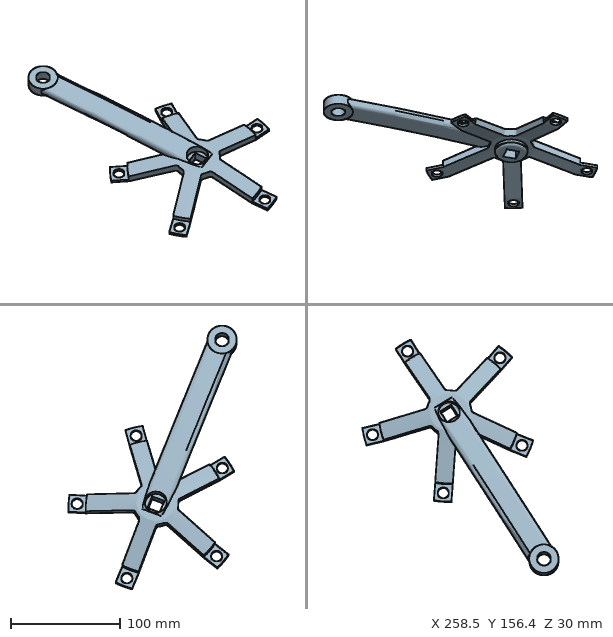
import cadquery as cq

total_height = 30.0

crank_length = 165.0
crank_width = 24.5
crank_edge_radius = 4.1
crank_thickness = 9.5
crank_end_x = 10.3
crank_end_top = 20.03
crank_mid_x = -68.2
crank_mid_top = 26.4
eye_diameter = 27.0
eye_height = 10.0
pedal_hole_diameter = 12.7

arm_count = 5
arm_width = 16.3
spider_radius = 80.0
tab_inner_radius = 64.0
tab_thickness = 2.8
step_top = 7.2
hub_top = 20.0
hub_bottom = 11.0
flat_top_radius = 17.5
flat_bottom_radius = 21.2
web_radius = 20.7
web_fillet = 3.4
bolt_circle_radius = 72.0
bolt_hole_diameter = 10.0

flange_diameter = 30.0
flange_bottom = 5.2
flange_edge_radius = 2.5
groove_bottom = 8.0
groove_top = 8.8
groove_diameter = 27.0
lip_edge_radius = 1.0
square_side = 12.0
recess_diameter = 20.0
recess_floor = 14.5


def make_spider():
    """Conical disc with a flat rim, trimmed to a star of straight arms."""
    disc = (
        cq.Workplane("XZ")
        .moveTo(0, hub_bottom)
        .lineTo(flat_bottom_radius, hub_bottom)
        .lineTo(tab_inner_radius, 0)
        .lineTo(spider_radius, 0)
        .lineTo(spider_radius, tab_thickness)
        .lineTo(tab_inner_radius, tab_thickness)
        .lineTo(tab_inner_radius, step_top)
        .lineTo(flat_top_radius, hub_top)
        .lineTo(0, hub_top)
        .close()
        .revolve(360, (0, 0, 0), (0, 1, 0))
    )
    star = cq.Workplane("XY").circle(web_radius).extrude(total_height)
    arm = cq.Workplane("XY").box(
        spider_radius + arm_width, arm_width, total_height, centered=(False, True, False)
    )
    for index in range(arm_count):
        star = star.union(arm.rotate((0, 0, 0), (0, 0, 1), index * 360 / arm_count))
    corners = cq.selectors.BoxSelector(
        (-web_radius, -web_radius, 0), (web_radius, web_radius, total_height)
    )
    star = star.edges("|Z").edges(corners).fillet(web_fillet)
    return disc.intersect(star)


def make_crank():
    """Bowed bar with rounded long edges, running from the pedal eye to the hub."""
    bar = (
        cq.Workplane("XZ")
        .moveTo(-crank_length, total_height)
        .threePointArc((crank_mid_x, crank_mid_top), (crank_end_x, crank_end_top))
        .lineTo(crank_end_x, crank_end_top - crank_thickness)
        .threePointArc(
            (crank_mid_x, crank_mid_top - crank_thickness),
            (-crank_length, total_height - crank_thickness),
        )
        .close()
        .extrude(crank_width / 2, both=True)
    )
    return bar.faces("<Y or >Y").edges("not |Z").fillet(crank_edge_radius)


def make_eye():
    """Round pedal boss at the far end of the crank."""
    return (
        cq.Workplane("XY", origin=(-crank_length, 0, total_height - eye_height))
        .circle(eye_diameter / 2)
        .extrude(eye_height)
    )


def make_disc(diameter, bottom, top):
    """Plain round disc on the spindle axis."""
    return cq.Workplane("XY", origin=(0, 0, bottom)).circle(diameter / 2).extrude(top - bottom)


def make_boss():
    """Rounded flange and lip below the hub, parted by a narrow groove."""
    flange = make_disc(flange_diameter, flange_bottom, groove_bottom)
    flange = flange.faces("<Z").edges().fillet(flange_edge_radius)
    lip = make_disc(flange_diameter, groove_top, hub_top)
    lip = lip.faces("<Z").edges().fillet(lip_edge_radius)
    core = make_disc(groove_diameter, groove_bottom, groove_top)
    return flange.union(core).union(lip)


def make_holes():
    """Cutting tools for the pedal, spindle and chainring bolt holes."""
    pedal_hole = (
        cq.Workplane("XY")
        .center(-crank_length, 0)
        .circle(pedal_hole_diameter / 2)
        .extrude(total_height)
    )
    square = cq.Workplane("XY").rect(square_side, square_side).extrude(total_height)
    recess = make_disc(recess_diameter, recess_floor, total_height)
    bolt_holes = (
        cq.Workplane("XY")
        .polarArray(bolt_circle_radius, 0, 360, arm_count)
        .circle(bolt_hole_diameter / 2)
        .extrude(total_height)
    )
    return pedal_hole.union(square).union(recess).union(bolt_holes)


solid_parts = make_spider().union(make_boss()).union(make_crank()).union(make_eye())
result = solid_parts.cut(make_holes())